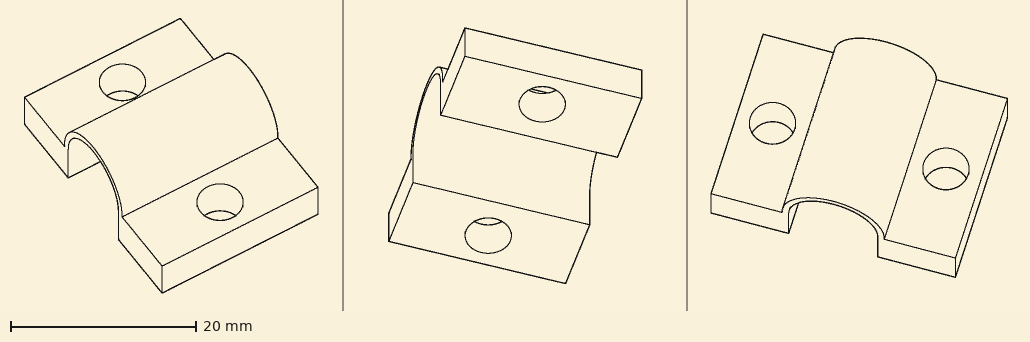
import math

import cadquery as cq

length = 20.0
width = 27.5
height = 10.77

bore_diameter = 10.0
wall = 0.75
bore_radius = bore_diameter / 2
outer_radius = bore_radius + wall
axis_height = height - outer_radius

flange_height = 4.75
hole_diameter = 5.0
flange_width = (width - 2 * outer_radius) / 2
hole_offset = outer_radius + flange_width / 2


def clamp_body():
    """Cross-section of flanges, arch and channel, extruded along Y."""
    half_width = width / 2
    arch_foot = math.sqrt(outer_radius**2 - (axis_height - flange_height) ** 2)
    return (
        cq.Workplane("XZ", origin=(0, length / 2, 0))
        .moveTo(-half_width, 0)
        .lineTo(-half_width, flange_height)
        .lineTo(-arch_foot, flange_height)
        .threePointArc((0, height), (arch_foot, flange_height))
        .lineTo(half_width, flange_height)
        .lineTo(half_width, 0)
        .lineTo(bore_radius, 0)
        .lineTo(bore_radius, axis_height)
        .threePointArc((0, axis_height + bore_radius), (-bore_radius, axis_height))
        .lineTo(-bore_radius, 0)
        .close()
        .extrude(length)
    )


def flange_holes():
    """Vertical through holes, one in each flange."""
    return (
        cq.Workplane("XY")
        .pushPoints([(-hole_offset, 0), (hole_offset, 0)])
        .circle(hole_diameter / 2)
        .extrude(flange_height)
    )


result = clamp_body().cut(flange_holes())